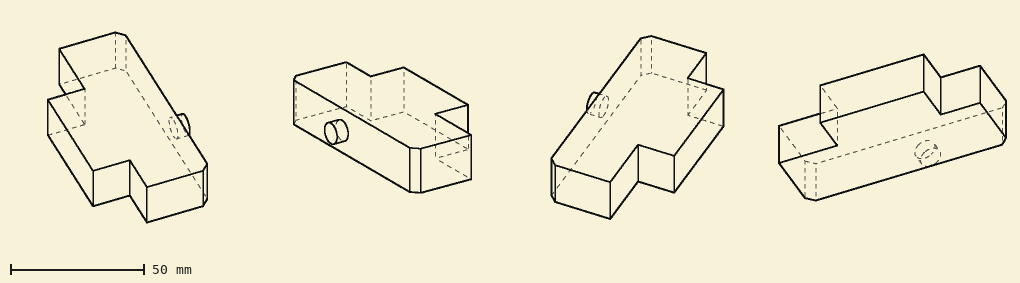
import cadquery as cq

length = 83.0
bar_depth = 25.8
height = 18.0
corner_chamfer = 3.0

block_left = 24.1
block_width = 42.75
block_depth = 14.9

pin_x = 48.0
pin_diameter = 8.3
pin_length = 5.0

bar = (
    cq.Workplane("XY")
    .box(length, bar_depth, height, centered=False)
    .edges("|Z and >Y")
    .chamfer(corner_chamfer)
)

block = (
    cq.Workplane("XY")
    .box(block_width, block_depth, height, centered=False)
    .translate((block_left, -block_depth, 0))
)

pin = (
    cq.Workplane("XZ", origin=(pin_x, bar_depth, height / 2))
    .circle(pin_diameter / 2)
    .extrude(-pin_length)
)

result = bar.union(block).union(pin)